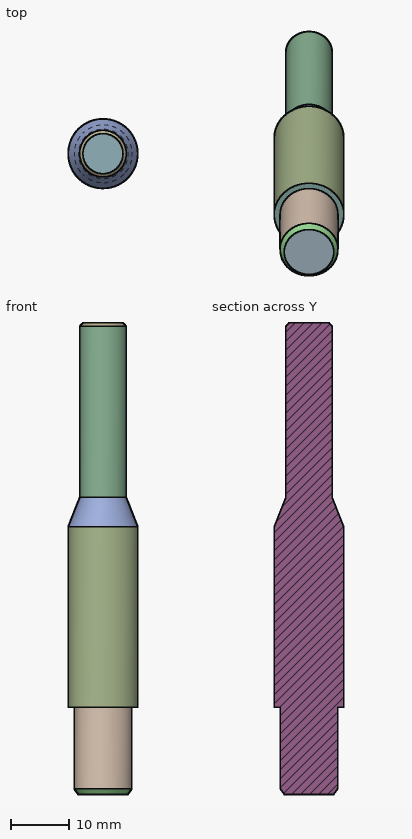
import cadquery as cq

total_length = 81.0
shank_radius = 10.0 / 2
body_radius = 12.0 / 2
tip_radius = 8.0 / 2

shank_length = 15.0
body_length = 31.0
taper_length = 5.0

shank_chamfer_height = 1.0
shank_chamfer_width = 0.7
tip_chamfer = 0.6

body_base = shank_length
taper_base = body_base + body_length
tip_base = taper_base + taper_length

half_section = (
    cq.Workplane("XZ")
    .moveTo(0, 0)
    .lineTo(shank_radius - shank_chamfer_width, 0)
    .lineTo(shank_radius, shank_chamfer_height)
    .lineTo(shank_radius, body_base)
    .lineTo(body_radius, body_base)
    .lineTo(body_radius, taper_base)
    .lineTo(tip_radius, tip_base)
    .lineTo(tip_radius, total_length - tip_chamfer)
    .lineTo(tip_radius - tip_chamfer, total_length)
    .lineTo(0, total_length)
    .close()
)

result = half_section.revolve(360, (0, 0), (0, 1))